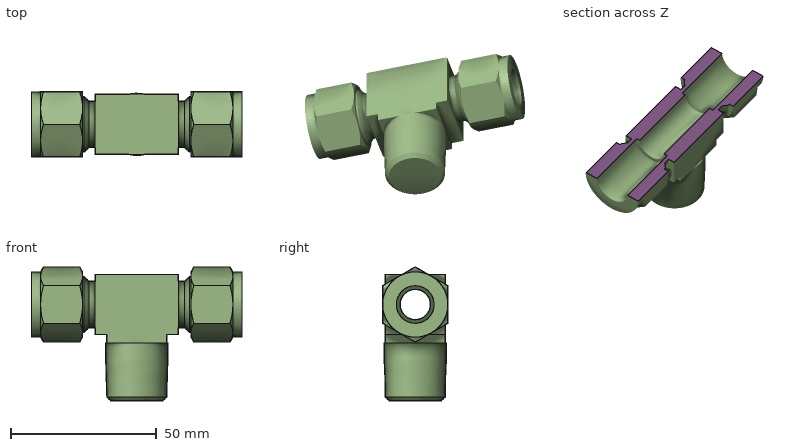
import cadquery as cq
import math

run_length = 72.14
nut_across_flats = 22.35
branch_reach = 33.02

nut_collar_length = 3.12
nut_hex_length = 14.38
nut_chamfer_angle = 30.0

neck_diameter = 16.0
shoulder_diameter = 19.05
shoulder_exposed_length = 0.55
shoulder_cone_length = 1.6

body_length = 28.6
body_width = 20.65
pad_height = 2.85

thread_diameter = 21.34
thread_straight_length = 6.3
thread_taper = 1 / 16
thread_chamfer = 1.35

through_bore_diameter = 10.3
tube_socket_diameter = 12.9
tube_socket_depth = 22.9

run_half = run_length / 2
nut_corner_diameter = nut_across_flats / math.cos(math.radians(30))
nut_length = nut_collar_length + nut_hex_length
nut_outer_x = run_half - nut_collar_length
nut_inner_x = run_half - nut_length
pad_bottom_z = -body_width / 2 - pad_height


def make_nut():
    """Hex nut on the +X end, with both hex ends chamfered and a round outer collar."""
    flat_radius = nut_across_flats / 2
    corner_radius = nut_corner_diameter / 2
    chamfer_length = (corner_radius - flat_radius) * math.tan(math.radians(nut_chamfer_angle))
    hexagon = (
        cq.Workplane("YZ", origin=(nut_inner_x, 0, 0))
        .transformed(rotate=(0, 0, 90))
        .polygon(6, nut_corner_diameter)
        .extrude(nut_hex_length)
    )
    chamfer_envelope = (
        cq.Workplane("XY")
        .moveTo(nut_inner_x, 0)
        .lineTo(nut_inner_x, flat_radius)
        .lineTo(nut_inner_x + chamfer_length, corner_radius)
        .lineTo(nut_outer_x - chamfer_length, corner_radius)
        .lineTo(nut_outer_x, flat_radius)
        .lineTo(nut_outer_x, 0)
        .close()
        .revolve(360, (0, 0, 0), (1, 0, 0))
    )
    collar = cq.Workplane("YZ", origin=(nut_outer_x, 0, 0)).circle(flat_radius).extrude(nut_collar_length)
    return hexagon.intersect(chamfer_envelope).union(collar)


def make_neck():
    """Round neck on the +X side, stepping up through a cone to the shoulder in the nut."""
    neck_radius = neck_diameter / 2
    shoulder_radius = shoulder_diameter / 2
    shoulder_x = nut_inner_x - shoulder_exposed_length
    cone_start_x = shoulder_x - shoulder_cone_length
    return (
        cq.Workplane("XY")
        .lineTo(0, neck_radius)
        .lineTo(cone_start_x, neck_radius)
        .lineTo(shoulder_x, shoulder_radius)
        .lineTo(nut_outer_x, shoulder_radius)
        .lineTo(nut_outer_x, 0)
        .close()
        .revolve(360, (0, 0, 0), (1, 0, 0))
    )


def make_body():
    """Square-section block along the run with a square pad under its middle."""
    block = cq.Workplane("XY").box(body_length, body_width, body_width)
    pad = cq.Workplane("XY").rect(body_width, body_width).extrude(pad_bottom_z)
    return block.union(pad)


def make_branch():
    """Male branch: a straight stretch, a taper and a 45 degree end chamfer."""
    thread_radius = thread_diameter / 2
    taper_start_z = pad_bottom_z - thread_straight_length
    taper_end_z = -branch_reach + thread_chamfer
    taper_end_radius = thread_radius - (taper_start_z - taper_end_z) * thread_taper / 2
    return (
        cq.Workplane("XZ")
        .moveTo(0, pad_bottom_z)
        .lineTo(thread_radius, pad_bottom_z)
        .lineTo(thread_radius, taper_start_z)
        .lineTo(taper_end_radius, taper_end_z)
        .lineTo(taper_end_radius - thread_chamfer, -branch_reach)
        .lineTo(0, -branch_reach)
        .close()
        .revolve(360, (0, 0, 0), (0, 1, 0))
    )


def make_tube_socket():
    """Cutter for the tube socket in the +X end."""
    return (
        cq.Workplane("YZ", origin=(run_half, 0, 0))
        .circle(tube_socket_diameter / 2)
        .extrude(-tube_socket_depth)
    )


def make_through_bore():
    """Cutter for the bore along the whole run."""
    return cq.Workplane("YZ").circle(through_bore_diameter / 2).extrude(run_half, both=True)


result = make_body().union(make_branch())
end_fitting = make_neck().union(make_nut())
tube_socket = make_tube_socket()
for end_angle in (0, 180):
    result = result.union(end_fitting.rotate((0, 0, 0), (0, 0, 1), end_angle))
    result = result.cut(tube_socket.rotate((0, 0, 0), (0, 0, 1), end_angle))
result = result.cut(make_through_bore())